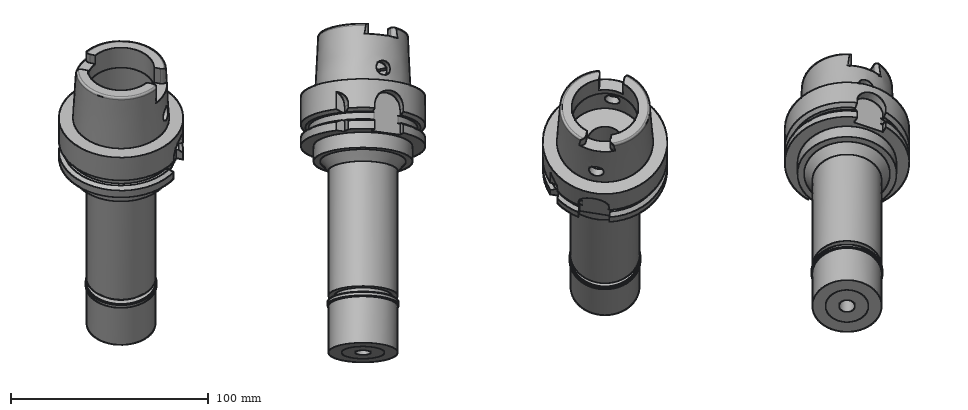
import cadquery as cq
import math


taper_height = 32.0
taper_base_radius = 24.4
taper_ratio = 0.05
taper_top_radius = taper_base_radius - taper_ratio * taper_height
taper_rim_fillet = 1.2
cavity_radius = 16.9
cavity_mouth_depth = 13.2
undercut_radius = 20.0
cross_hole_radius = 3.8
cross_hole_z = 8.9

rim_slot_width = 12.5
rim_slot_fillet = 2.5
rim_slot_margin = 0.05
near_rim_slot_depth = 5.7
far_rim_slot_depth = 9.9

flange_radius = 63.0 / 2
flange_height = 26.2
groove_radius = 27.5
groove_top = -16.4
groove_bottom = -20.4
groove_bevel_height = 1.3
groove_bevel_width = 2.3

drive_slot_width = 15.9
drive_slot_radius = drive_slot_width / 2
drive_slot_floor = 26.7
drive_slot_center_z = -13.0
notch_wall = 19.9

shoulder_radius = 25.0
shoulder_bottom = -34.2
shoulder_bevel_radius = 21.7
shank_top = -39.2
shank_radius = 17.5
shank_bottom = -105.0
neck_radius = 14.5
bore_radius = 9.0

total_length = 167.0
bottom_z = taper_height - total_length
nut_top = -107.9
nut_radius = 17.5
nut_collar_radius = 18.0
nut_collar_bevel = 0.5
nut_collar_bottom = -110.0
nut_lip_height = 6.7
nut_lip_top = bottom_z + nut_lip_height

collet_angle = 8.0
collet_large_radius = 12.7
collet_nose_radius = 10.9
collet_hole_radius = 4.0
collet_cone_height = (collet_large_radius - bore_radius) / math.tan(math.radians(collet_angle))
collet_top = nut_lip_top + collet_cone_height


def turned(points):
    """Solid of revolution about Z from a closed outline of (radius, z) points."""
    return cq.Workplane("XZ").polyline(points).close().revolve(360, (0, 0), (0, 1))


def rim_slot(side, depth):
    """Cutter for a rim slot whose walls round off tangentially into the taper at the slot floor."""
    outer_radius = taper_top_radius + taper_ratio * depth + rim_slot_margin
    half_width = rim_slot_width / 2
    center_y = half_width + rim_slot_fillet
    center_distance = outer_radius - rim_slot_fillet
    center_angle = math.asin(center_y / center_distance)
    center_x = center_distance * math.cos(center_angle)
    middle_angle = (center_angle - math.pi / 2) / 2
    middle_x = center_x + rim_slot_fillet * math.cos(middle_angle)
    middle_y = center_y + rim_slot_fillet * math.sin(middle_angle)
    tangent_x = outer_radius * math.cos(center_angle)
    tangent_y = outer_radius * math.sin(center_angle)
    return (
        cq.Workplane("XY")
        .workplane(offset=taper_height - depth)
        .moveTo(0, half_width)
        .lineTo(side * center_x, half_width)
        .threePointArc((side * middle_x, middle_y), (side * tangent_x, tangent_y))
        .lineTo(side * taper_base_radius, tangent_y)
        .lineTo(side * taper_base_radius, -tangent_y)
        .lineTo(side * tangent_x, -tangent_y)
        .threePointArc((side * middle_x, -middle_y), (side * center_x, -half_width))
        .lineTo(0, -half_width)
        .close()
        .extrude(depth)
    )


def taper_shank():
    """Cone with two rounded drive slots in its rim and a rounded top edge."""
    cone = turned([
        (0, 0),
        (taper_base_radius, 0),
        (taper_top_radius, taper_height),
        (0, taper_height),
    ])
    cone = cone.faces(">Z").edges().fillet(taper_rim_fillet)
    hollow = cone.cut(cq.Workplane("XY").circle(cavity_radius).extrude(taper_height))
    for side, depth in ((-1, near_rim_slot_depth), (1, far_rim_slot_depth)):
        hollow = hollow.cut(rim_slot(side, depth))
    return hollow


def flange_and_shank():
    """Flange, gripper groove, shoulder, shank and neck as one turned piece."""
    bevel_inner_radius = flange_radius - groove_bevel_width
    return turned([
        (0, 0),
        (flange_radius, 0),
        (flange_radius, groove_top + groove_bevel_height),
        (bevel_inner_radius, groove_top),
        (groove_radius, groove_top),
        (groove_radius, groove_bottom),
        (bevel_inner_radius, groove_bottom),
        (flange_radius, groove_bottom - groove_bevel_height),
        (flange_radius, -flange_height),
        (shoulder_radius, -flange_height),
        (shoulder_radius, shoulder_bottom),
        (shoulder_bevel_radius, shoulder_bottom),
        (shank_radius, shank_top),
        (shank_radius, shank_bottom),
        (neck_radius, shank_bottom),
        (neck_radius, nut_lip_top),
        (0, nut_lip_top),
    ])


def flange_slot(center_y, floor, side):
    """Cutter for a slot with a round top, open at the flange underside and facing along X."""
    half_width = drive_slot_radius
    cutter = (
        cq.Workplane("YZ")
        .moveTo(center_y - half_width, -flange_height)
        .lineTo(center_y - half_width, drive_slot_center_z)
        .threePointArc(
            (center_y, drive_slot_center_z + half_width),
            (center_y + half_width, drive_slot_center_z),
        )
        .lineTo(center_y + half_width, -flange_height)
        .close()
        .extrude(side * flange_radius)
    )
    return cutter.translate((side * floor, 0, 0))


def holder_cavity():
    """Undercut clamping cavity in the taper, above the flange."""
    mouth_bottom = taper_height - cavity_mouth_depth
    return turned([
        (0, 0),
        (undercut_radius, 0),
        (undercut_radius, mouth_bottom),
        (cavity_radius, mouth_bottom),
        (0, mouth_bottom),
    ])


def collet_cone():
    """Cone shared by the collet and its seat in the holder."""
    return turned([
        (0, nut_lip_top),
        (collet_large_radius, nut_lip_top),
        (bore_radius, collet_top),
        (0, collet_top),
    ])


def make_holder():
    """Taper, flange and shank in one piece, bored through to the collet seat."""
    holder = taper_shank().union(flange_and_shank()).cut(holder_cavity())
    bore = cq.Workplane("XY").workplane(offset=collet_top).circle(bore_radius).extrude(-collet_top)
    holder = holder.cut(bore).cut(collet_cone())
    cross_hole = (
        cq.Workplane("YZ")
        .center(0, cross_hole_z)
        .circle(cross_hole_radius)
        .extrude(taper_base_radius, both=True)
    )
    holder = holder.cut(cross_hole)
    for side in (-1, 1):
        holder = holder.cut(flange_slot(0, drive_slot_floor, side))
    return holder.cut(flange_slot(notch_wall + drive_slot_radius, notch_wall, -1))


def make_nut():
    """Nut around the holder's neck, with a lip that holds the collet in its seat."""
    return turned([
        (collet_nose_radius, bottom_z),
        (nut_radius, bottom_z),
        (nut_radius, nut_collar_bottom - nut_collar_bevel),
        (nut_collar_radius, nut_collar_bottom),
        (nut_collar_radius, nut_top - nut_collar_bevel),
        (nut_collar_radius - nut_collar_bevel, nut_top),
        (neck_radius, nut_top),
        (neck_radius, nut_lip_top),
        (collet_nose_radius, nut_lip_top),
    ])


def make_collet():
    """Tapered collet whose nose passes through the nut's lip."""
    nose = cq.Workplane("XY").workplane(offset=bottom_z).circle(collet_nose_radius).extrude(nut_lip_height)
    hole = (
        cq.Workplane("XY")
        .workplane(offset=bottom_z)
        .circle(collet_hole_radius)
        .extrude(collet_top - bottom_z)
    )
    return collet_cone().union(nose).cut(hole)


holder = make_holder()
nut = make_nut()
collet = make_collet()

result = cq.Compound.makeCompound([body.solids().val() for body in (holder, nut, collet)])